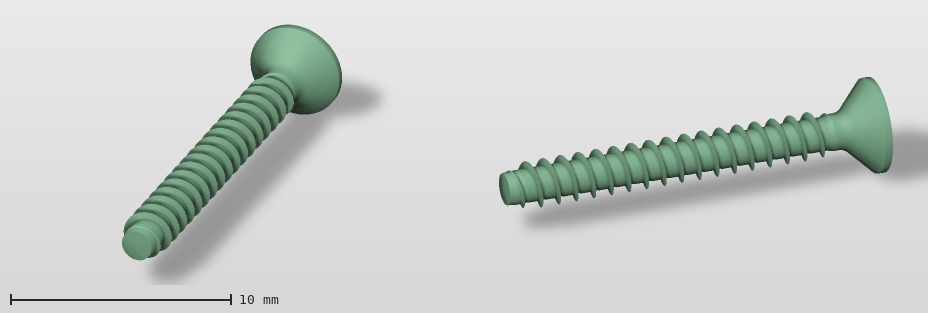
import cadquery as cq
import math


length = 18.0
head_radius = 2.2
rim_height = 0.33
cone_depth = 1.47
cone_end_radius = head_radius - (cone_depth - rim_height)
neck_radius = 0.85
neck_start = 2.02
neck_end = 2.24

core_radius = 0.78
core_start = 2.5
core_end = 17.6
tip_radius = 0.735
tip_cone_height = 0.05

pitch = 0.85
crest_radius = 1.1
thread_start = 2.0525
start_angle = 0.0
fade_turns = 1.0
full_turns = 16.5
root_half_width = 0.155
root_sink = 0.1
crest_sink = 0.03

groove_width = 0.29
groove_depth = 0.08
groove_clearance = 0.1

root_radius = core_radius - root_sink


def make_body():
    """Head, neck fillet, neck, core and shallow conical tip as one revolved solid."""
    outline = (
        cq.Workplane("XZ")
        .lineTo(head_radius, 0)
        .lineTo(head_radius, rim_height)
        .lineTo(cone_end_radius, cone_depth)
        .tangentArcPoint((neck_radius, neck_start), relative=False)
        .lineTo(neck_radius, neck_end)
        .lineTo(core_radius, core_start)
        .lineTo(core_radius, core_end)
        .lineTo(tip_radius, length - tip_cone_height)
        .lineTo(0, length)
        .close()
    )
    return outline.revolve(360, (0, 0, 0), (0, 1, 0)).val()


def helix(start_turn, turns, offset, start_radius, end_radius):
    """Helical edge shifted along the axis, with a radius that changes evenly."""
    height = turns * pitch
    if start_radius == end_radius:
        wire = cq.Wire.makeHelix(pitch, height, start_radius)
    else:
        angle = math.atan2(end_radius - start_radius, height)
        slant = 1 / math.cos(angle)
        wire = cq.Wire.makeHelix(pitch * slant, height * slant, start_radius, angle=math.degrees(angle))
    turned = wire.rotate(cq.Vector(), cq.Vector(0, 0, 1), start_angle + 360 * start_turn)
    return turned.translate(cq.Vector(0, 0, thread_start + start_turn * pitch + offset)).Edges()[0]


def end_cap(edges, at_start):
    """Flat face closing the end of a bundle of helical edges."""
    corners = [edge.startPoint() if at_start else edge.endPoint() for edge in edges]
    return cq.Face.makeFromWires(cq.Wire.makePolygon(corners, close=True))


def sweep_profiles(stages):
    """Solid through a series of profiles, each given as (turn, [(offset, radius), ...])."""
    faces = []
    bundles = []
    for (turn, profile), (next_turn, next_profile) in zip(stages, stages[1:]):
        edges = [
            helix(turn, next_turn - turn, offset, radius, next_radius)
            for (offset, radius), (_, next_radius) in zip(profile, next_profile)
        ]
        for edge, neighbour in zip(edges, edges[1:] + edges[:1]):
            faces.append(cq.Face.makeRuledSurface(edge, neighbour))
        bundles.append(edges)
    faces.append(end_cap(bundles[0], True))
    faces.append(end_cap(bundles[-1], False))
    solid = cq.Solid.makeSolid(cq.Shell.makeShell(faces))
    return solid.fix()


def tooth_profile(crest):
    """Pointed tooth with its root inside the core."""
    return [(-root_half_width, root_radius), (0, crest), (root_half_width, root_radius)]


def make_thread():
    """Thread that rises out of the neck, runs at full height and sinks into the core."""
    full_end = fade_turns + full_turns
    full = tooth_profile(crest_radius)
    risen = tooth_profile(neck_radius - crest_sink)
    sunk = tooth_profile(core_radius - crest_sink)
    return sweep_profiles([(0, risen), (fade_turns, full), (full_end, full), (full_end + fade_turns, sunk)])


def groove_profile():
    """Triangular cut, deepest under the tooth crest and running out toward the head."""
    top = core_radius + groove_clearance
    return [
        (-groove_width, top),
        (-groove_width, core_radius),
        (0, core_radius - groove_depth),
        (0, top),
    ]


def make_groove():
    """Cutter for the relief groove, from the first full turn to the end of the thread."""
    first = fade_turns
    last = fade_turns + full_turns + fade_turns
    profile = groove_profile()
    return sweep_profiles([(first, profile), (last, profile)])


def make_screw():
    """Grooved body with its thread, laid down along -Y."""
    screw = make_body().cut(make_groove()).fuse(make_thread())
    return screw.rotate(cq.Vector(), cq.Vector(1, 0, 0), 90)


result = cq.Workplane("XY").newObject([make_screw()])